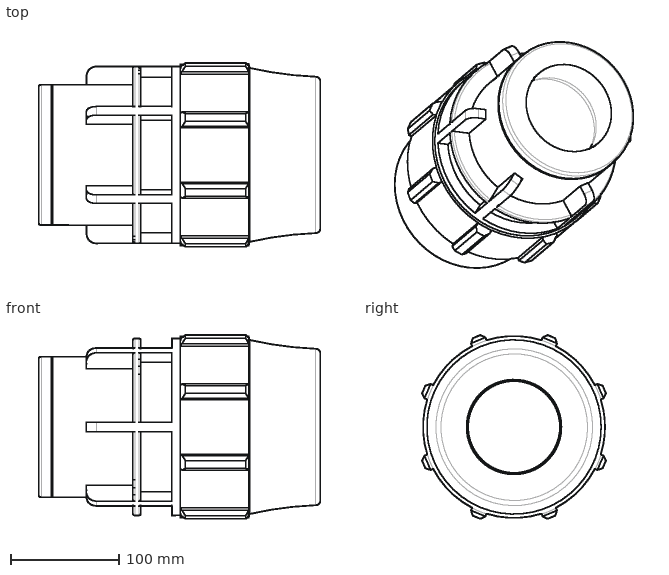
import cadquery as cq
import math


total_length = 261.0
groove_start = 11.7
groove_end = 13.3
fin_start = 44.5
flange_start = 87.2
flange_end = 94.7
flange_middle = (flange_start + flange_end) / 2
collar_start = 123.5
nut_start = 131.0
nut_end = 194.5
nose_start = 195.5

sleeve_radius = 130.2 / 2
neck_radius = 72.0
flange_radius = 82.0
nut_radius = 84.3
nose_large_radius = 80.6
nose_middle_radius = 75.2
nose_small_radius = 72.5

sleeve_edge_round = 2.3
groove_depth = 0.3
flange_edge_round = 1.8
nose_edge_round = 4.7

round_inset_ratio = 1 - math.sqrt(0.5)

bore_radius = 84.8 / 2
wide_bore_radius = 88.0 / 2
bore_taper_start = 39.2
bore_taper_end = 48.0

part_overlap = 4.0
ring_allowance = 2.5

fin_count = 6
fin_thickness = 9.1
fin_corner_round = 9.1
ring_inner_radius = sleeve_radius - part_overlap

rib_count = 8
rib_top_radius = 90.5
rib_shoulder_radius = 86.7
rib_root_radius = nut_radius - part_overlap
rib_half_width = 7.3
rib_top_half_width = 4.0
rib_start_slope = 5.0
rib_end_slope = 2.5
half_rib_spacing = 180 / rib_count


def make_body():
    """Outer shape turned about the X axis."""
    nose_end = total_length - nose_edge_round
    nose_middle = (nose_start + nose_end) / 2
    sleeve_round_offset = sleeve_edge_round * round_inset_ratio
    nose_round_offset = nose_edge_round * round_inset_ratio
    profile = (
        cq.Workplane("XY")
        .moveTo(0, 0)
        .lineTo(0, sleeve_radius - sleeve_edge_round)
        .threePointArc(
            (sleeve_round_offset, sleeve_radius - sleeve_round_offset),
            (sleeve_edge_round, sleeve_radius),
        )
        .lineTo(groove_start, sleeve_radius)
        .lineTo(groove_start, sleeve_radius - groove_depth)
        .lineTo(groove_end, sleeve_radius - groove_depth)
        .lineTo(groove_end, sleeve_radius)
        .lineTo(flange_middle, sleeve_radius)
        .lineTo(flange_middle, neck_radius)
        .lineTo(nut_start, neck_radius)
        .lineTo(nut_start, nut_radius)
        .lineTo(nut_end, nut_radius)
        .lineTo(nose_start, nose_large_radius)
        .threePointArc((nose_middle, nose_middle_radius), (nose_end, nose_small_radius))
        .threePointArc(
            (total_length - nose_round_offset, nose_small_radius - nose_round_offset),
            (total_length, nose_small_radius - nose_edge_round),
        )
        .lineTo(total_length, 0)
        .close()
    )
    return profile.revolve(360, (0, 0, 0), (1, 0, 0))


def make_gap_ring(flange_face, far_end, direction):
    """Ring of clearance beside the flange, rounding the flange rim it touches.

    The direction is +1 when the flange lies on the +X side of the ring, else -1.
    """
    outside = flange_radius + ring_allowance
    inset = flange_edge_round * round_inset_ratio
    return (
        cq.Workplane("XY")
        .moveTo(far_end, ring_inner_radius)
        .lineTo(flange_face, ring_inner_radius)
        .lineTo(flange_face, flange_radius - flange_edge_round)
        .threePointArc(
            (flange_face + direction * inset, flange_radius - inset),
            (flange_face + direction * flange_edge_round, flange_radius),
        )
        .lineTo(flange_face + direction * flange_edge_round, outside)
        .lineTo(far_end, outside)
        .close()
        .revolve(360, (0, 0, 0), (1, 0, 0))
    )


def make_finned_flange():
    """Flange, collar and fins left standing when the gaps between them are removed."""
    blank = (
        cq.Workplane("YZ")
        .workplane(offset=fin_start)
        .circle(flange_radius)
        .extrude(nut_start - fin_start)
        .faces("<X")
        .edges()
        .fillet(fin_corner_round)
    )
    gaps = make_gap_ring(flange_start, fin_start, 1)
    gaps = gaps.union(make_gap_ring(flange_end, collar_start, -1))
    fin_slab = cq.Workplane("XY").box(
        total_length, flange_radius + ring_allowance, fin_thickness, centered=(False, False, True)
    )
    for slab in around_axis(fin_slab, fin_count, 0):
        gaps = gaps.cut(slab)
    return blank.cut(gaps)


def make_rib():
    """Grip rib in the +Y direction with bevelled sides and sloped ends."""
    side_shape = (
        cq.Workplane("XY")
        .polyline([
            (nut_start, rib_root_radius),
            (nut_start, nut_radius),
            (nut_start + rib_start_slope, rib_top_radius),
            (nut_end - rib_end_slope, rib_top_radius),
            (nut_end, rib_shoulder_radius),
            (nut_end, rib_root_radius),
        ])
        .close()
        .extrude(rib_half_width, both=True)
    )
    end_shape = (
        cq.Workplane("YZ")
        .workplane(offset=nut_start)
        .polyline([
            (rib_root_radius, -rib_half_width),
            (rib_shoulder_radius, -rib_half_width),
            (rib_top_radius, -rib_top_half_width),
            (rib_top_radius, rib_top_half_width),
            (rib_shoulder_radius, rib_half_width),
            (rib_root_radius, rib_half_width),
        ])
        .close()
        .extrude(nut_end - nut_start)
    )
    return side_shape.intersect(end_shape)


def around_axis(shape, count, first_angle):
    """Copies of a shape spaced evenly about the X axis."""
    step = 360 / count
    copies = []
    for index in range(count):
        copies.append(shape.rotate((0, 0, 0), (1, 0, 0), first_angle + index * step))
    return copies


def make_bore():
    """Through bore with a short taper to its wider length."""
    return (
        cq.Workplane("XY")
        .polyline([
            (0, 0),
            (0, bore_radius),
            (bore_taper_start, bore_radius),
            (bore_taper_end, wide_bore_radius),
            (total_length, wide_bore_radius),
            (total_length, 0),
        ])
        .close()
        .revolve(360, (0, 0, 0), (1, 0, 0))
    )


result = make_body().union(make_finned_flange())
for rib in around_axis(make_rib(), rib_count, half_rib_spacing):
    result = result.union(rib)
result = result.cut(make_bore()).clean()